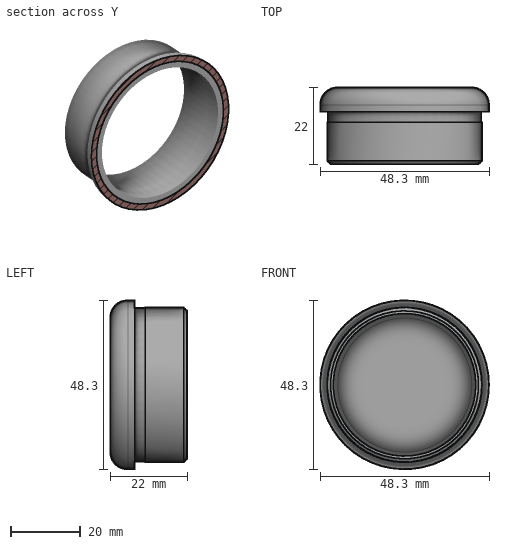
import cadquery as cq

wall = 1.8

head_diameter = 48.3
total_length = 22.0
head_thickness = 7.0
dome_radius = 5.0

neck_diameter = 43.95
neck_length = 3.0

plug_diameter = 44.3
rim_chamfer = 1.0

head_face = total_length - head_thickness
plug_length = head_face - neck_length

bore_diameter = plug_diameter - 2 * wall
bore_depth = head_face + wall
cavity_diameter = plug_diameter
cavity_height = head_thickness - 2 * wall
cavity_radius = 3.0


def cylinder(diameter, start, length):
    """Solid cylinder along +Y, starting at the given distance from the open rim."""
    base = cq.Workplane("XZ", origin=(0, start, 0))
    return base.circle(diameter / 2).extrude(-length)


def domed_disc(diameter, start, height, edge_radius):
    """Cylinder along +Y with its +Y edge rounded."""
    return cylinder(diameter, start, height).faces(">Y").edges().fillet(edge_radius)


head = domed_disc(head_diameter, head_face, head_thickness, dome_radius)

neck = cylinder(neck_diameter, plug_length, neck_length)
plug = cylinder(plug_diameter, 0, plug_length).faces("<Y").edges().chamfer(rim_chamfer)

bore = cylinder(bore_diameter, 0, bore_depth)
cavity = domed_disc(cavity_diameter, bore_depth, cavity_height, cavity_radius)

result = head.union(neck).union(plug).cut(bore).cut(cavity)